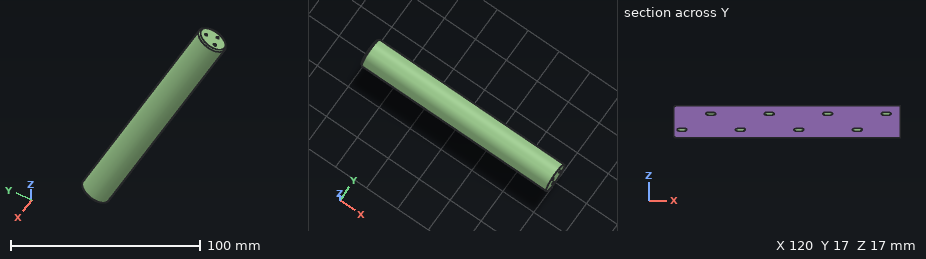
import cadquery as cq
import math

rod_length = 120.0
rod_diameter = 17.0
chamfer_size = 0.8

channel_count = 3
channel_diameter = 1.5
channel_circle_radius = rod_diameter / 4
helix_angle = 30.0
first_channel_angle = 13.0

helix_pitch = math.pi * rod_diameter / math.tan(math.radians(helix_angle))
channel_twist = 360 * rod_length / helix_pitch


def make_rod():
    """Solid rod starting at X = 0, chamfered on that end only."""
    rod = cq.Workplane("YZ").circle(rod_diameter / 2).extrude(rod_length)
    return rod.faces("<X").chamfer(chamfer_size)


def make_channel(start_angle):
    """Right-handed helical channel, round in the rod's cross-section."""
    center_y = channel_circle_radius * math.cos(math.radians(start_angle))
    center_z = channel_circle_radius * math.sin(math.radians(start_angle))
    return (
        cq.Workplane("YZ")
        .moveTo(center_y, center_z)
        .circle(channel_diameter / 2)
        .twistExtrude(rod_length, channel_twist)
    )


result = make_rod()
for index in range(channel_count):
    result = result.cut(make_channel(first_channel_angle + index * 360 / channel_count))